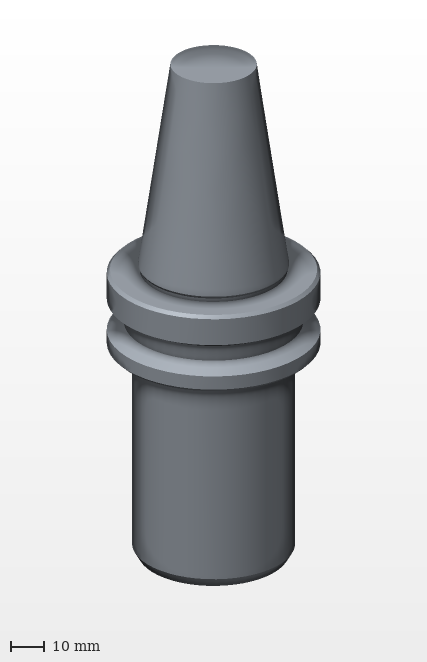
import cadquery as cq

total_length = 160.4
gauge_height = 95.0
flange_top = 93.0
flange_bottom = 68.0

gauge_radius = 22.3
taper_ratio = 7 / 24
tip_radius = gauge_radius - (total_length - gauge_height) * taper_ratio / 2
neck_radius = 21.8
neck_step_height = 0.8

flange_diameter = 63.0
flange_radius = flange_diameter / 2
flange_chamfer = 1.0
groove_center = 78.5
groove_floor_radius = 26.5
groove_floor_half_width = 2.4
groove_mouth_half_width = 5.1

body_radius = 24.0
root_fillet = 3.0
nose_chamfer_height = 3.0
nose_chamfer_width = 1.8

profile = (
    cq.Workplane("XZ")
    .moveTo(0, 0)
    .lineTo(body_radius - nose_chamfer_width, 0)
    .lineTo(body_radius, nose_chamfer_height)
    .lineTo(body_radius, flange_bottom - root_fillet)
    .radiusArc((body_radius + root_fillet, flange_bottom), root_fillet)
    .lineTo(flange_radius - flange_chamfer, flange_bottom)
    .lineTo(flange_radius, flange_bottom + flange_chamfer)
    .lineTo(flange_radius, groove_center - groove_mouth_half_width)
    .lineTo(groove_floor_radius, groove_center - groove_floor_half_width)
    .lineTo(groove_floor_radius, groove_center + groove_floor_half_width)
    .lineTo(flange_radius, groove_center + groove_mouth_half_width)
    .lineTo(flange_radius, flange_top - flange_chamfer)
    .lineTo(flange_radius - flange_chamfer, flange_top)
    .lineTo(neck_radius, flange_top)
    .lineTo(neck_radius, gauge_height - neck_step_height)
    .lineTo(gauge_radius, gauge_height)
    .lineTo(tip_radius, total_length)
    .lineTo(0, total_length)
    .close()
)

result = profile.revolve(360, (0, 0, 0), (0, 1, 0))